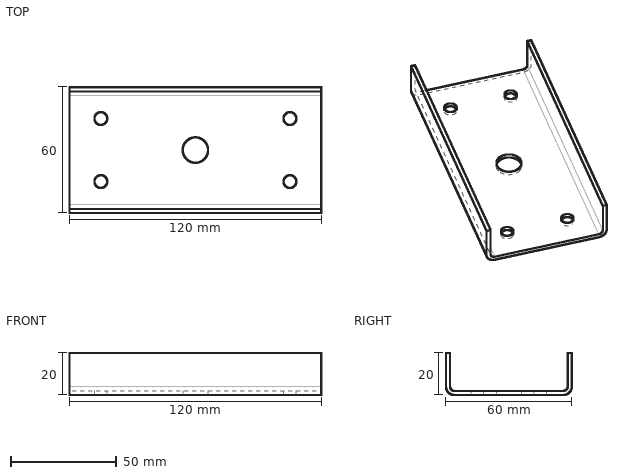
import cadquery as cq

length = 120.0
width = 60.0
height = 20.0
thickness = 2.0
inner_bend_radius = 2.0
outer_bend_radius = inner_bend_radius + thickness

center_hole_diameter = 12.0
mount_hole_diameter = 6.0
mount_spacing_x = 90.0
mount_spacing_y = 30.0


def bent_channel():
    """U-shaped channel along X, open at the top, with its underside on Z = 0."""
    outer = (
        cq.Workplane("XY")
        .box(length, width, height, centered=(True, True, False))
        .edges("|X and <Z")
        .fillet(outer_bend_radius)
    )
    cavity = (
        cq.Workplane("XY")
        .workplane(offset=thickness)
        .box(length, width - 2 * thickness, height, centered=(True, True, False))
        .edges("|X and <Z")
        .fillet(inner_bend_radius)
    )
    return outer.cut(cavity)


def floor_hole_cutters():
    """Cylinders through the floor: one in the centre and four for mounting."""
    floor = cq.Workplane("XY")
    center = floor.circle(center_hole_diameter / 2).extrude(thickness)
    mounts = (
        floor.rarray(mount_spacing_x, mount_spacing_y, 2, 2)
        .circle(mount_hole_diameter / 2)
        .extrude(thickness)
    )
    return center.union(mounts)


result = bent_channel().cut(floor_hole_cutters())